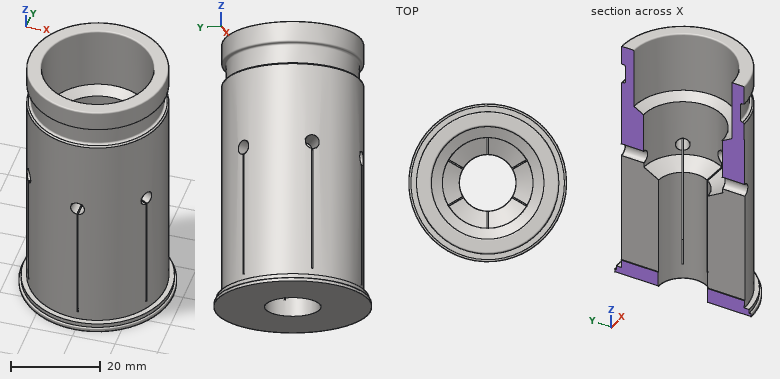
import cadquery as cq
import math

length = 62.5
body_diameter = 32.0
head_height = 5.0
head_fillet = 0.4
neck_diameter = 30.0
neck_bottom = 52.7
neck_fillet = 0.4
shoulder_chamfer = 0.4

rim_diameter = 35.5
rim_height = 0.9
rim_fillet = 0.25
flange_diameter = 34.5
flange_height = 1.9

top_bore_diameter = 25.3
top_bore_fillet = 0.4
upper_cone_top = 47.1
middle_bore_diameter = 20.4
lower_cone_top = 31.25
grip_bore_diameter = 12.7
cone_slope = 30

hole_count = 6
hole_diameter = 3.25
hole_height = 34.0
slot_width = 0.3
slot_bottom = 3.9


def cylinder(diameter, bottom, top):
    return cq.Workplane("XY").workplane(offset=bottom).circle(diameter / 2).extrude(top - bottom)


def make_outside():
    head_bottom = length - head_height
    lower_body = cylinder(body_diameter, 0, neck_bottom).faces(">Z").edges().chamfer(shoulder_chamfer)
    neck = cylinder(neck_diameter, neck_bottom, head_bottom)
    head = cylinder(body_diameter, head_bottom, length).edges().fillet(head_fillet)
    neck_ends = cq.selectors.RadiusNthSelector(1)
    upper_body = lower_body.union(neck).union(head).edges(neck_ends).fillet(neck_fillet)
    rim = cylinder(rim_diameter, 0, rim_height).faces(">Z").edges().fillet(rim_fillet)
    flange = cylinder(flange_diameter, 0, flange_height)
    return upper_body.union(rim).union(flange)


def make_bore():
    """Revolve the bore profile; both cones have the same slope."""
    top_radius = top_bore_diameter / 2
    middle_radius = middle_bore_diameter / 2
    grip_radius = grip_bore_diameter / 2
    steepness = math.tan(math.radians(cone_slope))
    upper_cone_bottom = upper_cone_top - steepness * (top_radius - middle_radius)
    lower_cone_bottom = lower_cone_top - steepness * (middle_radius - grip_radius)
    return (
        cq.Workplane("XZ")
        .lineTo(grip_radius, 0)
        .lineTo(grip_radius, lower_cone_bottom)
        .lineTo(middle_radius, lower_cone_top)
        .lineTo(middle_radius, upper_cone_bottom)
        .lineTo(top_radius, upper_cone_top)
        .lineTo(top_radius, length - top_bore_fillet)
        .radiusArc((top_radius + top_bore_fillet, length), top_bore_fillet)
        .lineTo(0, length)
        .close()
        .revolve(360, (0, 0, 0), (0, 1, 0))
    )


def make_relief_cut():
    """One hole and slot, cut from the axis out through the -Y wall."""
    hole = cq.Workplane("XZ").center(0, hole_height).circle(hole_diameter / 2).extrude(body_diameter)
    slot = (
        cq.Workplane("XZ")
        .center(0, (hole_height + slot_bottom) / 2)
        .rect(slot_width, hole_height - slot_bottom)
        .extrude(body_diameter)
    )
    return hole.union(slot)


result = make_outside().cut(make_bore())
relief_cut = make_relief_cut()
for index in range(hole_count):
    result = result.cut(relief_cut.rotate((0, 0, 0), (0, 0, 1), index * 360 / hole_count))